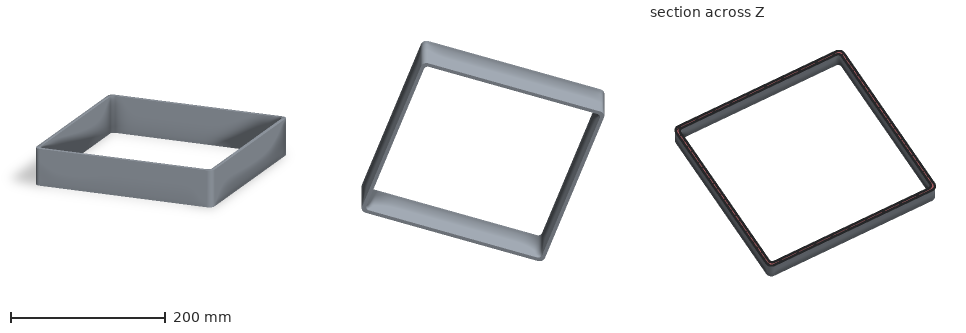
import cadquery as cq

side = 250.0
height = 50.0
wall = 5.0
outer_radius = 7.5
inner_radius = 5.0


def rounded_block(width, radius):
    """Square block standing on Z = 0 with rounded vertical edges."""
    return cq.Workplane("XY").rect(width, width).extrude(height).edges("|Z").fillet(radius)


outer_block = rounded_block(side, outer_radius)
opening = rounded_block(side - 2 * wall, inner_radius)

result = outer_block.cut(opening)